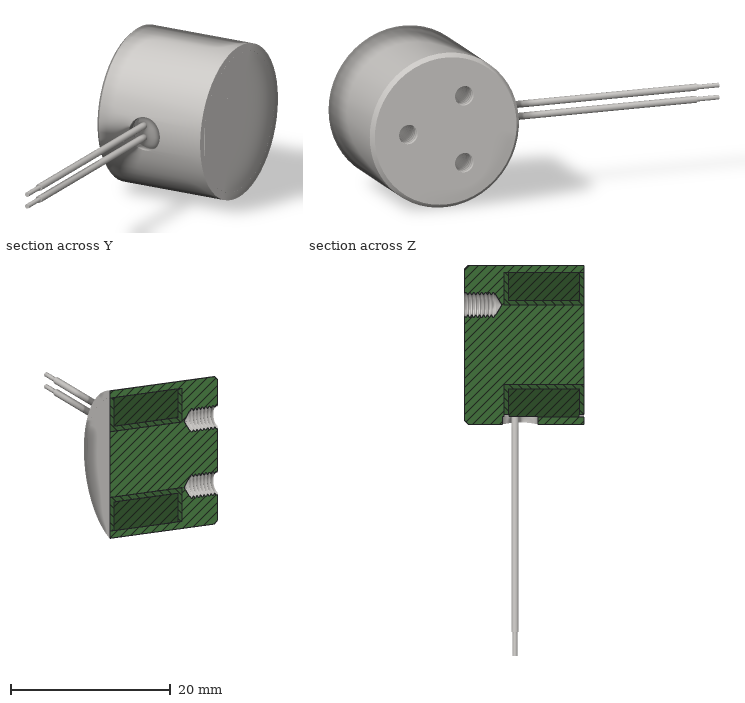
import cadquery as cq
import math

housing_radius = 10.0
housing_length = 15.0
rim_chamfer = 0.5
base_thickness = 5.0
shell_thickness = 1.0
core_radius = 5.0
cavity_radius = housing_radius - shell_thickness

flange_thickness = 0.6
tube_thickness = 0.6
flat_distance = 8.75
tube_radius = core_radius + tube_thickness
winding_start = base_thickness + flange_thickness
winding_end = housing_length - flange_thickness

insulation_radius = 0.45
conductor_radius = 0.3
lead_x = 6.35
lead_spacing = 1.55
lead_tip = 39.0
stripped_length = 3.0
insulation_end = lead_tip - stripped_length

opening_x = 7.0
opening_radius = 2.2

mount_count = 3
mount_circle_radius = 5.0
thread_minor_diameter = 2.5
thread_major_diameter = 3.05
thread_minor_radius = thread_minor_diameter / 2
thread_major_radius = thread_major_diameter / 2
thread_pitch = 0.5
thread_turns = 8
thread_flank = 0.15
thread_root = 0.1
mount_depth = thread_pitch * thread_turns
drill_half_angle = 59
drill_tip = thread_minor_radius / math.tan(math.radians(drill_half_angle))


def x_cylinder(start, end, radius):
    """A solid cylinder on the X axis."""
    return cq.Workplane("YZ", origin=(start, 0, 0)).circle(radius).extrude(end - start)


def x_ring(start, end, outer_radius, inner_radius):
    """A ring on the X axis."""
    return x_cylinder(start, end, outer_radius).cut(x_cylinder(start, end, inner_radius))


def y_cylinder(x, z, start, end, radius):
    """A solid cylinder towards -Y, from distance start to distance end from the X axis."""
    return cq.Workplane("XZ", origin=(x, -start, z)).circle(radius).extrude(end - start)


def mounting_hole():
    """The space of one blind hole with ring-shaped thread grooves and a drill tip, on the X axis."""
    profile = cq.Workplane("XY").lineTo(0, thread_minor_radius)
    for turn in range(thread_turns):
        groove_start = turn * thread_pitch
        root_start = groove_start + thread_flank
        root_end = root_start + thread_root
        profile = profile.lineTo(root_start, thread_major_radius)
        profile = profile.lineTo(root_end, thread_major_radius)
        profile = profile.lineTo(root_end + thread_flank, thread_minor_radius)
        profile = profile.lineTo(groove_start + thread_pitch, thread_minor_radius)
    profile = profile.lineTo(mount_depth + drill_tip, 0).close()
    return profile.revolve(360, (0, 0, 0), (1, 0, 0))


def make_housing():
    """The pot with its core, lead opening and mounting holes."""
    body = x_cylinder(0, housing_length, housing_radius).faces("<X").chamfer(rim_chamfer)
    body = body.cut(x_ring(base_thickness, housing_length, cavity_radius, core_radius))

    opening = y_cylinder(opening_x, 0, 0, housing_radius, opening_radius)
    body = body.cut(opening.cut(x_cylinder(0, housing_length, cavity_radius)))

    first_hole = mounting_hole().translate((0, mount_circle_radius, 0))
    for index in range(mount_count):
        angle = index * 360 / mount_count
        body = body.cut(first_hole.rotate((0, 0, 0), (1, 0, 0), angle))
    return body


def make_flange(start):
    """One flange of the coil former, with a flat on its -Y side."""
    flange = x_ring(start, start + flange_thickness, cavity_radius, core_radius)
    beyond_flat = (
        cq.Workplane("XZ", origin=(start, -flat_distance, 0))
        .rect(2 * flange_thickness, 2 * cavity_radius)
        .extrude(cavity_radius - flat_distance)
    )
    return flange.cut(beyond_flat)


def make_former():
    """The coil former that fills the cavity around the core."""
    tube = x_ring(base_thickness, housing_length, tube_radius, core_radius)
    return tube.union(make_flange(base_thickness)).union(make_flange(winding_end))


def make_winding():
    """The coil between the two flanges."""
    return x_ring(winding_start, winding_end, cavity_radius, tube_radius)


def make_lead(z):
    """One lead, starting on the round surface of the winding."""
    insulation = y_cylinder(lead_x, z, tube_radius, insulation_end, insulation_radius)
    conductor = y_cylinder(lead_x, z, insulation_end, lead_tip, conductor_radius)
    return insulation.union(conductor).cut(x_cylinder(0, housing_length, cavity_radius))


housing = make_housing()
former = make_former()
winding = make_winding()
leads = [make_lead(side * lead_spacing / 2).val() for side in (-1, 1)]

result = cq.Compound.makeCompound([housing.val(), former.val(), winding.val(), *leads])